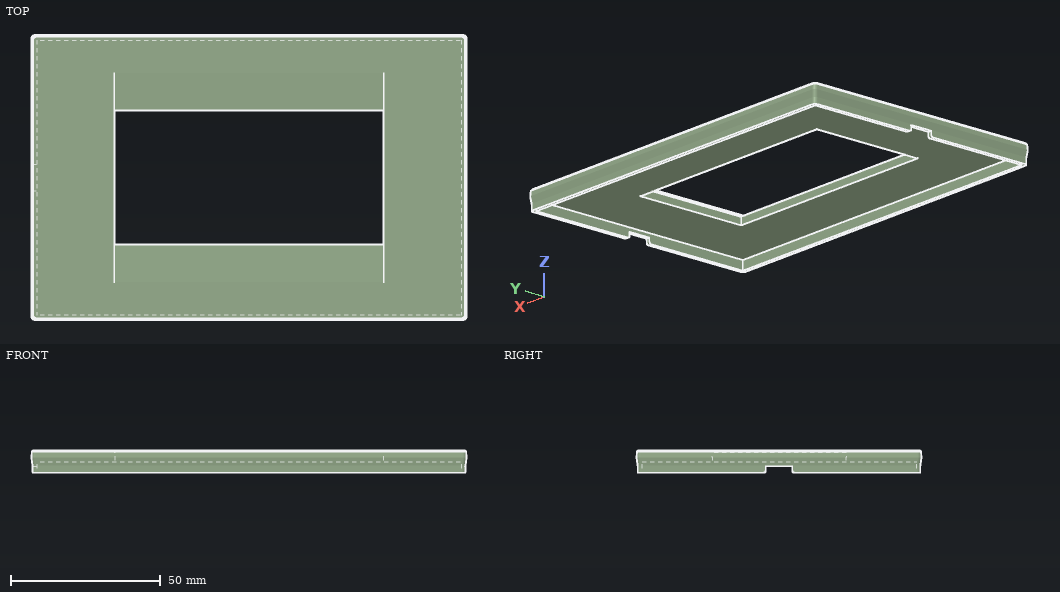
import cadquery as cq
import math

length = 145.4
width = 95.2
height = 7.5
corner_radius = 1.3

skirt_height = 2.5
widest_height = 5.1
rim_drop = 0.51
rim_height = height - rim_drop
base_inset = 0.4
skirt_inset = 0.36
rim_inset = 0.1
top_inset = 0.6

skirt_wall = 1.5
cavity_depth = 3.8

window_length = 89.8
window_width = 44.9
window_draft = 0.1

strip_outer_width = 69.8
strip_drop = 0.5
strip_edge_radius = 0.3

notch_width = 8.7
notch_height = 2.2
notch_lip_radius = 0.9


def rounded_outline(z, inset):
    """Rounded rectangle at height z, set in from the widest outline."""
    return (
        cq.Sketch()
        .rect(length - 2 * inset, width - 2 * inset)
        .vertices()
        .fillet(corner_radius)
        .moved(cq.Location(cq.Vector(0, 0, z)))
    )


def side_band(lower_z, lower_inset, upper_z, upper_inset):
    """One straight or sloping band of the outer side."""
    return cq.Workplane("XY").placeSketch(
        rounded_outline(lower_z, lower_inset),
        rounded_outline(upper_z, upper_inset),
    ).loft(ruled=True)


def make_body():
    levels = [
        (0, base_inset),
        (skirt_height, skirt_inset),
        (widest_height, 0),
        (rim_height, rim_inset),
        (height, top_inset),
    ]
    body = side_band(*levels[0], *levels[1])
    for lower, upper in zip(levels[1:], levels[2:]):
        body = body.union(side_band(*lower, *upper))
    return body


def make_cavity():
    wall_offset = 2 * (base_inset + skirt_wall)
    return cq.Workplane("XY").rect(length - wall_offset, width - wall_offset).extrude(cavity_depth)


def make_window():
    """Opening through the top plate, narrowing downwards."""
    depth = height - cavity_depth
    draft_angle = math.degrees(math.atan(window_draft / depth))
    return (
        cq.Workplane("XY", origin=(0, 0, height))
        .rect(window_length, window_width)
        .extrude(-depth, taper=draft_angle)
    )


def make_strip_cut(side):
    """Wedge that slopes the top face down to a rounded window edge; side is +1 or -1 in Y."""
    edge_z = height - strip_drop
    wall_z = edge_z - strip_edge_radius
    wall_inset = window_draft * (height - wall_z) / (height - cavity_depth)
    outer_y = strip_outer_width / 2
    wall_y = window_width / 2 - wall_inset
    return (
        cq.Workplane("YZ")
        .moveTo(side * outer_y, height)
        .lineTo(side * (wall_y + strip_edge_radius), edge_z)
        .radiusArc((side * wall_y, wall_z), -side * strip_edge_radius)
        .lineTo(0, wall_z)
        .lineTo(0, height)
        .close()
        .extrude(window_length / 2, both=True)
    )


def cut_notches(body):
    """Cut a notch through both short side walls and round the lips of its mouth."""
    notch = cq.Workplane("XY").rect(length, notch_width).extrude(notch_height)
    lips = cq.selectors.BoxSelector(
        (-length, -notch_width, -notch_lip_radius),
        (length, notch_width, notch_lip_radius),
    )
    return body.cut(notch).edges("|X").edges(lips).fillet(notch_lip_radius)


result = make_body().cut(make_cavity()).cut(make_window())
for side in (1, -1):
    result = result.cut(make_strip_cut(side))
result = cut_notches(result)